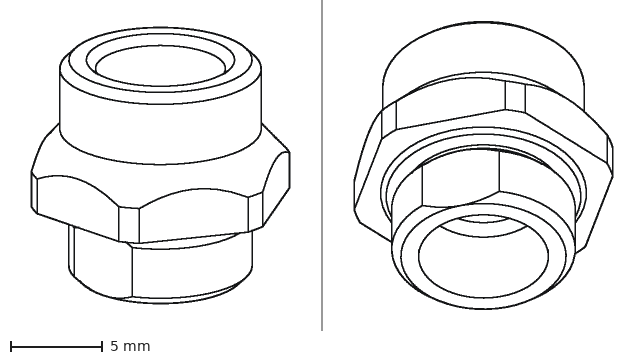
import cadquery as cq
import math

total_height = 12.5

hex_across_flats = 13.0
hex_across_corners = hex_across_flats / math.cos(math.radians(30))
hex_corner_radius = 7.2
hex_bottom = 4.5
hex_corner_top = 6.53
hex_cone_top = 8.49

upper_radius = 5.5
edge_chamfer = 0.5

lip_bottom = 4.26
lip_top_radius = 5.61
lip_bottom_radius = 5.31

neck_radius = 4.39
neck_bottom = 4.01
lower_radius = 5.01
lower_cone_bottom = 3.37
lower_half_flats = lower_radius - edge_chamfer

bore_radius = 3.54
ring_inner_radius = 2.75
ring_section_radius = (bore_radius - ring_inner_radius) / 2
ring_center_radius = bore_radius - ring_section_radius
ring_height = hex_bottom


def make_upper_part():
    """Hexagon with a conical shoulder, and the chamfered spigot above it."""
    turned = (
        cq.Workplane("XZ")
        .moveTo(0, hex_bottom)
        .lineTo(hex_corner_radius, hex_bottom)
        .lineTo(hex_corner_radius, hex_corner_top)
        .lineTo(upper_radius, hex_cone_top)
        .lineTo(upper_radius, total_height - edge_chamfer)
        .lineTo(upper_radius - edge_chamfer, total_height)
        .lineTo(0, total_height)
        .close()
        .revolve()
    )
    hexagon = (
        cq.Workplane("XY")
        .workplane(offset=hex_bottom)
        .polygon(6, hex_across_corners)
        .extrude(total_height - hex_bottom)
    )
    return turned.intersect(hexagon)


def make_lip_and_neck():
    """Tapered sealing lip and the narrow neck below it."""
    return (
        cq.Workplane("XZ")
        .moveTo(0, hex_bottom)
        .lineTo(lip_top_radius, hex_bottom)
        .lineTo(lip_bottom_radius, lip_bottom)
        .lineTo(neck_radius, lip_bottom)
        .lineTo(neck_radius, neck_bottom)
        .lineTo(0, neck_bottom)
        .close()
        .revolve()
    )


def make_lower_spigot():
    """Lower spigot, chamfered at both ends, with flats on the -Y and +Y sides."""
    turned = (
        cq.Workplane("XZ")
        .lineTo(lower_radius - edge_chamfer, 0)
        .lineTo(lower_radius, edge_chamfer)
        .lineTo(lower_radius, lower_cone_bottom)
        .lineTo(neck_radius, neck_bottom)
        .lineTo(0, neck_bottom)
        .close()
        .revolve()
    )
    between_flats = cq.Workplane("XY").box(
        2 * lower_radius, 2 * lower_half_flats, neck_bottom, centered=(True, True, False)
    )
    return turned.intersect(between_flats)


def make_bore():
    """Through bore with a chamfered mouth at the top."""
    return (
        cq.Workplane("XZ")
        .lineTo(bore_radius, 0)
        .lineTo(bore_radius, total_height - edge_chamfer)
        .lineTo(bore_radius + edge_chamfer, total_height)
        .lineTo(0, total_height)
        .close()
        .revolve()
    )


def make_fitting():
    outside = make_upper_part().union(make_lip_and_neck()).union(make_lower_spigot())
    return outside.cut(make_bore())


def make_o_ring():
    """Round-section ring that touches the bore wall all the way round."""
    ring = cq.Solid.makeTorus(ring_center_radius, ring_section_radius)
    return cq.Workplane(ring.translate(cq.Vector(0, 0, ring_height)))


fitting = make_fitting()
o_ring = make_o_ring()

result = cq.Compound.makeCompound([fitting.solids().val(), o_ring.val()])